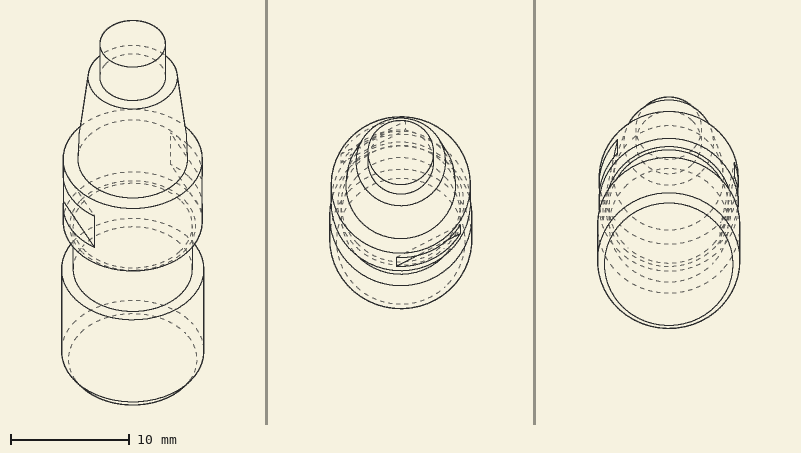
import cadquery as cq

total_height = 37.8
body_chamfer_height = 1.0
body_top = 10.8
neck_top = 16.03
collar_chamfer_top = 16.5
collar_top = 24.0
cone_start = 26.5
cone_top = 33.8

body_diameter = 12.0
body_bottom_diameter = 10.8
neck_diameter = 10.0
collar_diameter = 11.7
collar_bottom_diameter = 10.6
cone_base_diameter = 9.22
cone_start_diameter = 9.07
cone_top_diameter = 7.52
pin_diameter = 5.5

flat_bottom = 18.37
flat_top = 22.1
across_flats = neck_diameter


def make_turned_body():
    """Revolve the stepped half profile about the Z axis."""
    profile = [
        (0, 0),
        (body_bottom_diameter / 2, 0),
        (body_diameter / 2, body_chamfer_height),
        (body_diameter / 2, body_top),
        (neck_diameter / 2, body_top),
        (neck_diameter / 2, neck_top),
        (collar_bottom_diameter / 2, neck_top),
        (collar_diameter / 2, collar_chamfer_top),
        (collar_diameter / 2, collar_top),
        (cone_base_diameter / 2, collar_top),
        (cone_start_diameter / 2, cone_start),
        (cone_top_diameter / 2, cone_top),
        (pin_diameter / 2, cone_top),
        (pin_diameter / 2, total_height),
        (0, total_height),
    ]
    return cq.Workplane("XZ").polyline(profile).close().revolve(360, (0, 0, 0), (0, 1, 0))


def make_flat_cutter(side):
    """Block outside one wrench flat; side is -1 or +1 along Y."""
    depth = collar_diameter / 2
    return (
        cq.Workplane("XY")
        .box(collar_diameter, depth, flat_top - flat_bottom, centered=(True, True, False))
        .translate((0, side * (across_flats + depth) / 2, flat_bottom))
    )


result = make_turned_body()
for side in (-1, 1):
    result = result.cut(make_flat_cutter(side))